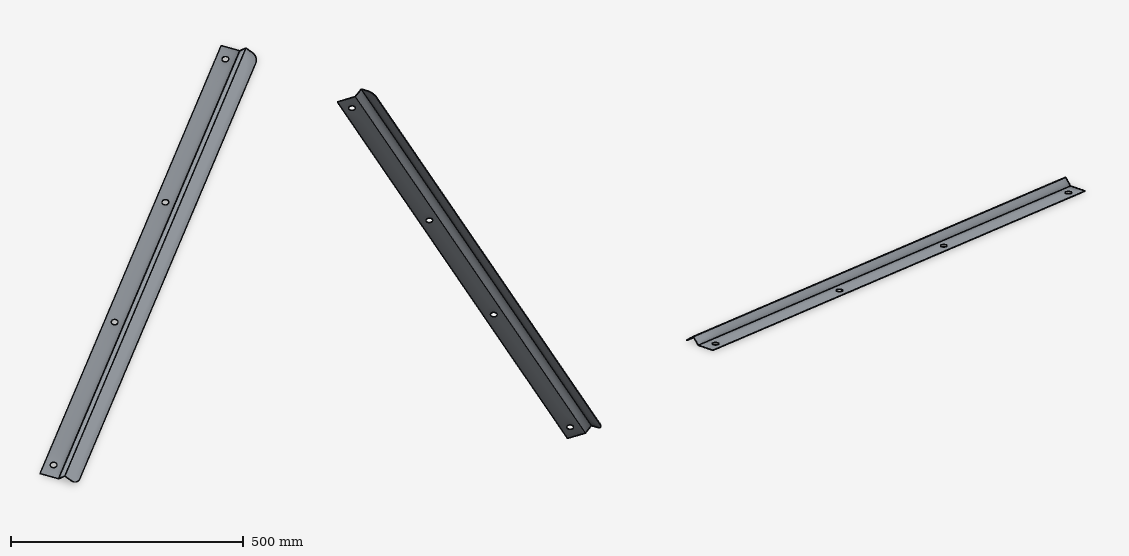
import cadquery as cq
import math

length = 1198.0
width = 85.0
height = 22.0

thickness = 1.4
flange_width = 42.0
ridge_x = 56.0
flange_bottom = 4.0

lip_corner_radius = 17.0
hole_diameter = 14.0
inner_hole_x = 22.0
outer_hole_x = 20.0
inner_hole_y = 168.0
outer_hole_y = 568.0

flange_top = flange_bottom + thickness

web_angle = math.atan2(height - flange_top, ridge_x - flange_width)


def lip_drop_error(angle):
    """Height missed by the lip's lower corner when the lip slopes at the given angle."""
    upper_corner_z = height - (width - ridge_x) * math.tan(angle)
    return upper_corner_z - thickness * math.cos(angle)


def solve_lip_angle():
    """Find the slope that brings the lip's lower corner to Z = 0, by bisection."""
    low = 0.0
    high = math.pi / 4
    for _ in range(50):
        middle = (low + high) / 2
        if lip_drop_error(middle) > 0:
            low = middle
        else:
            high = middle
    return low


lip_angle = solve_lip_angle()
lip_end_z = thickness * math.cos(lip_angle)
lip_end_x = width - thickness * math.sin(lip_angle)

inner_flange_x = flange_width + thickness * math.tan(web_angle / 2)
web_slope = math.tan(web_angle)
lip_slope = math.tan(lip_angle)
web_vertical_gap = thickness / math.cos(web_angle)
lip_vertical_gap = thickness / math.cos(lip_angle)
inner_ridge_x = ridge_x + (web_vertical_gap - lip_vertical_gap) / (web_slope + lip_slope)
inner_ridge_z = height - lip_vertical_gap - lip_slope * (inner_ridge_x - ridge_x)


def folded_sheet():
    """Constant-thickness folded section, extruded symmetrically along Y."""
    return (
        cq.Workplane("XZ")
        .moveTo(0, flange_bottom)
        .lineTo(inner_flange_x, flange_bottom)
        .lineTo(inner_ridge_x, inner_ridge_z)
        .lineTo(lip_end_x, 0)
        .lineTo(width, lip_end_z)
        .lineTo(ridge_x, height)
        .lineTo(flange_width, flange_top)
        .lineTo(0, flange_top)
        .close()
        .extrude(length / 2, both=True)
    )


def round_lip_corners(sheet):
    """Round the two free corners across the sheet thickness."""
    edge_x = (lip_end_x + width) / 2
    for end_y in (-length / 2, length / 2):
        corner = cq.selectors.NearestToPointSelector((edge_x, end_y, lip_end_z / 2))
        sheet = sheet.edges(corner).fillet(lip_corner_radius)
    return sheet


def mounting_holes():
    """Cutters for the four holes through the flat flange."""
    inner_positions = [(inner_hole_x, side * inner_hole_y) for side in (-1, 1)]
    outer_positions = [(outer_hole_x, side * outer_hole_y) for side in (-1, 1)]
    positions = inner_positions + outer_positions
    return cq.Workplane("XY").pushPoints(positions).circle(hole_diameter / 2).extrude(height)


result = round_lip_corners(folded_sheet()).cut(mounting_holes())